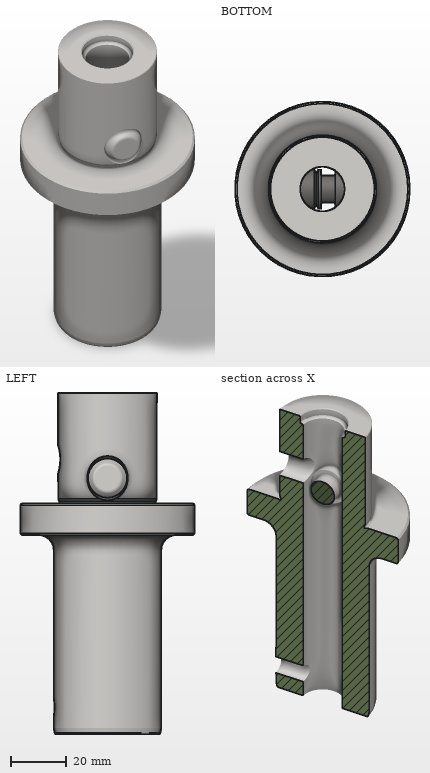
import cadquery as cq

total_height = 124.0
flange_top = 84.0
flange_bottom = 72.3

shank_radius = 19.6
flange_radius = 31.7
neck_radius = 18.0
bore_radius = 8.0

flange_chamfer = 0.7
shank_fillet = 5.2
neck_top_chamfer = 0.2
shank_edge_height = 0.6
shank_edge_radius = 18.8
shank_lead_height = 2.2
shank_lead_radius = 19.2

relief_start = flange_top + 1.5
relief_taper_end = flange_top + 0.6
relief_floor = flange_top - 0.4
relief_inner_radius = neck_radius - 0.4
relief_outer_radius = neck_radius + 0.7

counterbore_radius = 9.3
counterbore_depth = 3.0
counterbore_cone_depth = 0.6
counterbore_chamfer = 0.4

bolt_height = 93.0
bolt_radius = 7.1
mouth_radius = 8.0
mouth_depth = 2.2

neck_hole_radius = 5.2
neck_hole_height = 99.8
shank_hole_radius = 3.5
shank_hole_height = 9.8

bolt_length = 43.2
bolt_offset = -2.2
tip_radius = 5.2
tip_length = 3.2
tip_fillet = 1.2
joint_radius = 5.8
joint_chamfer_length = 0.7

waist_radius = 5.0
waist_start = -0.5
waist_end = 4.6
waist_fillet = 0.5


def make_blank():
    """Solid of revolution: shank, flange and neck."""
    return (
        cq.Workplane("XZ")
        .lineTo(shank_edge_radius, 0)
        .lineTo(shank_lead_radius, shank_edge_height)
        .lineTo(shank_radius, shank_lead_height)
        .lineTo(shank_radius, flange_bottom - shank_fillet)
        .radiusArc((shank_radius + shank_fillet, flange_bottom), shank_fillet)
        .lineTo(flange_radius - flange_chamfer, flange_bottom)
        .lineTo(flange_radius, flange_bottom + flange_chamfer)
        .lineTo(flange_radius, flange_top - flange_chamfer)
        .lineTo(flange_radius - flange_chamfer, flange_top)
        .lineTo(relief_outer_radius, flange_top)
        .lineTo(relief_inner_radius, relief_floor)
        .lineTo(relief_inner_radius, relief_taper_end)
        .lineTo(neck_radius, relief_start)
        .lineTo(neck_radius, total_height - neck_top_chamfer)
        .lineTo(neck_radius - neck_top_chamfer, total_height)
        .lineTo(0, total_height)
        .close()
        .revolve(360, (0, 0, 0), (0, 1, 0))
    )


def make_bore():
    """Through bore with its counterbore."""
    counterbore_floor = total_height - counterbore_depth
    return (
        cq.Workplane("XZ")
        .lineTo(bore_radius, 0)
        .lineTo(bore_radius, counterbore_floor - counterbore_cone_depth)
        .lineTo(counterbore_radius, counterbore_floor)
        .lineTo(counterbore_radius, total_height - counterbore_chamfer)
        .lineTo(counterbore_radius + counterbore_chamfer, total_height)
        .lineTo(0, total_height)
        .close()
        .revolve(360, (0, 0, 0), (0, 1, 0))
    )


def revolve_bolt_profile(points):
    """Revolve (x, radius) points about the bolt axis."""
    start = (points[0][0], 0)
    end = (points[-1][0], 0)
    return (
        cq.Workplane("XZ", origin=(0, 0, bolt_height))
        .polyline([start, *points, end])
        .close()
        .revolve(360, (0, 0, 0), (1, 0, 0))
    )


def make_cross_hole():
    """Hole across the neck that widens to a conical mouth at each end."""
    mouth_slope = (mouth_radius - bolt_radius) / mouth_depth
    mouth_floor = neck_radius - mouth_depth
    cutter_end = neck_radius + mouth_depth
    cutter_radius = mouth_radius + mouth_slope * mouth_depth
    return revolve_bolt_profile([
        (-cutter_end, cutter_radius),
        (-mouth_floor, bolt_radius),
        (mouth_floor, bolt_radius),
        (cutter_end, cutter_radius),
    ])


def make_wall_hole(radius, height):
    """Round hole from the bore axis out through the +Y wall."""
    return (
        cq.Workplane("XZ", origin=(0, 0, height))
        .circle(radius)
        .extrude(-flange_radius)
    )


def make_housing():
    return (
        make_blank()
        .cut(make_bore())
        .cut(make_cross_hole())
        .cut(make_wall_hole(neck_hole_radius, neck_hole_height))
        .cut(make_wall_hole(shank_hole_radius, shank_hole_height))
    )


def make_half_bolt(side):
    """Half of the bolt, with a rounded conical tip; side is -1 for the -X half and 1 for the +X half."""
    tip_end = bolt_length / 2
    profile = [
        (0, joint_radius),
        (joint_chamfer_length, bolt_radius),
        (tip_end - tip_length, bolt_radius),
        (tip_end, tip_radius),
    ]
    half_bolt = revolve_bolt_profile([(bolt_offset + side * x, radius) for x, radius in profile])
    outward = "<X" if side < 0 else ">X"
    tip_cone = half_bolt.faces("%CONE").faces(outward)
    return tip_cone.edges("%CIRCLE").fillet(tip_fillet)


def make_waist_cutter():
    """Ring that leaves the waist, rounded at both bottom corners."""
    waist_width = waist_end - waist_start
    core = (
        cq.Workplane("YZ", origin=(waist_start, 0, bolt_height))
        .circle(waist_radius)
        .extrude(waist_width)
    )
    ring = (
        cq.Workplane("YZ", origin=(waist_start, 0, bolt_height))
        .circle(mouth_radius)
        .extrude(waist_width)
        .cut(core)
    )
    inner_edges = cq.selectors.RadiusNthSelector(0)
    return ring.edges(inner_edges).fillet(waist_fillet)


housing = make_housing()
left_bolt = make_half_bolt(-1)
right_bolt = make_half_bolt(1).cut(make_waist_cutter())

result = cq.Compound.makeCompound([housing.val(), left_bolt.val(), right_bolt.val()])